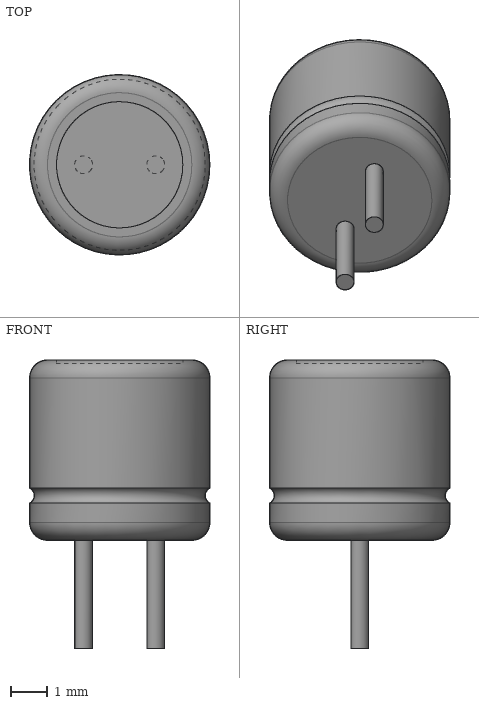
import cadquery as cq

total_height = 8.0
body_diameter = 5.0
body_height = 5.0
edge_radius = body_diameter / 10

lid_recess_diameter = body_diameter - 3 * edge_radius
lid_recess_depth = 0.1

groove_height = 1.24
groove_width = 0.42
groove_depth = 0.13

lead_diameter = 0.5
lead_spacing = 2.0
lead_length = total_height - body_height

body_radius = body_diameter / 2


def make_can():
    can = cq.Workplane("XY").circle(body_radius).extrude(body_height)
    return can.faces("<Z or >Z").edges().fillet(edge_radius)


def make_groove():
    """Ring with an arc-shaped inner side, to be cut from the can wall."""
    outside = body_radius + groove_depth
    bottom = groove_height - groove_width / 2
    top = groove_height + groove_width / 2
    return (
        cq.Workplane("XZ")
        .moveTo(outside, bottom)
        .lineTo(body_radius, bottom)
        .threePointArc((body_radius - groove_depth, groove_height), (body_radius, top))
        .lineTo(outside, top)
        .close()
        .revolve(360, (0, 0, 0), (0, 1, 0))
    )


def make_lid_recess():
    return (
        cq.Workplane("XY")
        .workplane(offset=body_height - lid_recess_depth)
        .circle(lid_recess_diameter / 2)
        .extrude(lid_recess_depth)
    )


def make_leads():
    half_spacing = lead_spacing / 2
    return (
        cq.Workplane("XY")
        .pushPoints([(-half_spacing, 0), (half_spacing, 0)])
        .circle(lead_diameter / 2)
        .extrude(-lead_length)
    )


result = make_can().cut(make_groove()).cut(make_lid_recess()).union(make_leads())